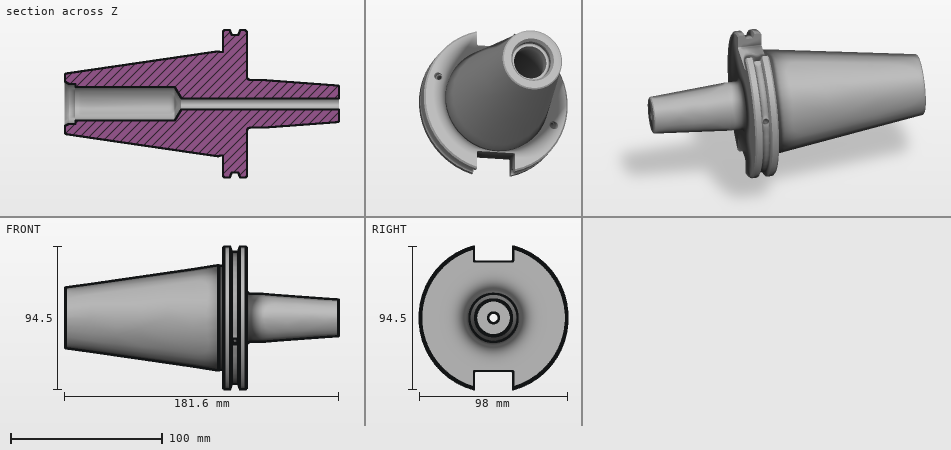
import cadquery as cq
import math

total_length = 181.6
gauge_x = 101.5
flange_start = 104.6
flange_end = 120.5
neck_cylinder_end = 130.8

gauge_diameter = 70.0
taper_ratio = 7 / 24
collar_diameter = 69.2
collar_chamfer_length = 0.9
small_end_diameter = gauge_diameter - taper_ratio * gauge_x
small_end_chamfer = 0.7

flange_diameter = 98.0
flange_chamfer = 1.0
groove_floor_diameter = 91.5
groove_center_x = (flange_start + flange_end) / 2
groove_top_width = 6.7
groove_floor_width = 4.2

slot_width = 25.8
upper_slot_floor = 37.5
lower_slot_floor = 35.2
slot_corner_radius = 0.7
dimple_diameter = 9.5
dimple_depth = 2.7

neck_diameter = 32.0
nose_diameter = 24.5
neck_fillet = 2.2
nose_chamfer = 0.7

mouth_diameter = 29.0
mouth_cone_depth = 2.7
counterbore_diameter = 26.2
counterbore_depth = 6.9
bore_diameter = 22.0
bore_depth = 72.6
drill_point_angle = 118.0
coolant_diameter = 6.9

port_angle = 20.0
port_circle_radius = 41.8
port_tilt = 32.0
port_diameter = 5.0
port_depth = 1.8
port_drill_diameter = 3.3
port_drill_depth = 9.0
screw_hole_diameter = 4.2
screw_hole_depth = 2.7


def make_body():
    small_radius = small_end_diameter / 2
    chamfer_radius = small_radius + small_end_chamfer * taper_ratio / 2
    gauge_radius = gauge_diameter / 2
    collar_radius = collar_diameter / 2
    flange_radius = flange_diameter / 2
    floor_radius = groove_floor_diameter / 2
    neck_radius = neck_diameter / 2
    nose_radius = nose_diameter / 2
    fillet_middle = neck_fillet * (1 - math.sqrt(0.5))
    return (
        cq.Workplane("XY")
        .moveTo(0, 0)
        .lineTo(0, small_radius - small_end_chamfer)
        .lineTo(small_end_chamfer, chamfer_radius)
        .lineTo(gauge_x, gauge_radius)
        .lineTo(gauge_x + collar_chamfer_length, collar_radius)
        .lineTo(flange_start, collar_radius)
        .lineTo(flange_start, flange_radius - flange_chamfer)
        .lineTo(flange_start + flange_chamfer, flange_radius)
        .lineTo(groove_center_x - groove_top_width / 2, flange_radius)
        .lineTo(groove_center_x - groove_floor_width / 2, floor_radius)
        .lineTo(groove_center_x + groove_floor_width / 2, floor_radius)
        .lineTo(groove_center_x + groove_top_width / 2, flange_radius)
        .lineTo(flange_end - flange_chamfer, flange_radius)
        .lineTo(flange_end, flange_radius - flange_chamfer)
        .lineTo(flange_end, neck_radius + neck_fillet)
        .threePointArc(
            (flange_end + fillet_middle, neck_radius + fillet_middle),
            (flange_end + neck_fillet, neck_radius),
        )
        .lineTo(neck_cylinder_end, neck_radius)
        .lineTo(total_length - nose_chamfer, nose_radius)
        .lineTo(total_length, nose_radius - nose_chamfer)
        .lineTo(total_length, 0)
        .close()
        .revolve(360, (0, 0, 0), (1, 0, 0))
    )


def make_bore():
    coolant_radius = coolant_diameter / 2
    bore_radius = bore_diameter / 2
    point_length = (bore_radius - coolant_radius) / math.tan(math.radians(drill_point_angle / 2))
    return (
        cq.Workplane("XY")
        .moveTo(0, 0)
        .lineTo(0, mouth_diameter / 2)
        .lineTo(mouth_cone_depth, counterbore_diameter / 2)
        .lineTo(counterbore_depth, counterbore_diameter / 2)
        .lineTo(counterbore_depth, bore_radius)
        .lineTo(bore_depth, bore_radius)
        .lineTo(bore_depth + point_length, coolant_radius)
        .lineTo(total_length, coolant_radius)
        .lineTo(total_length, 0)
        .close()
        .revolve(360, (0, 0, 0), (1, 0, 0))
    )


def make_drive_slot(floor, side):
    """Slot across the flange; side is +1 for the +Z slot and -1 for the -Z slot."""
    depth = flange_diameter / 2 - floor
    floor_edges = "|X and <Z" if side > 0 else "|X and >Z"
    return (
        cq.Workplane("XY")
        .box(flange_end - flange_start, slot_width, depth)
        .edges(floor_edges)
        .fillet(slot_corner_radius)
        .translate((groove_center_x, 0, side * (floor + depth / 2)))
    )


def make_dimple():
    """Conical-bottomed recess in the floor of the +Z slot."""
    radius = dimple_diameter / 2
    return (
        cq.Workplane("XZ")
        .moveTo(0, 0)
        .lineTo(radius, 0)
        .lineTo(0, -dimple_depth)
        .close()
        .revolve(360, (0, 0, 0), (0, 1, 0))
        .translate((groove_center_x, 0, upper_slot_floor))
    )


def make_coolant_port():
    """Stepped drilling in the flange face, leaning toward the part axis as it goes deeper."""
    tilt = math.radians(port_tilt)
    mouth = cq.Vector(flange_start, port_circle_radius, 0)
    direction = cq.Vector(math.cos(tilt), -math.sin(tilt), 0)
    start = mouth - direction * port_diameter
    port = cq.Solid.makeCylinder(port_diameter / 2, port_diameter + port_depth, start, direction)
    drill = cq.Solid.makeCylinder(port_drill_diameter / 2, port_drill_depth, mouth, direction)
    return cq.Workplane(port).union(cq.Workplane(drill))


def make_screw_hole():
    """Radial blind hole in the groove floor, with a drill-point end."""
    radius = screw_hole_diameter / 2
    bottom = groove_floor_diameter / 2 - screw_hole_depth
    point_length = radius / math.tan(math.radians(drill_point_angle / 2))
    return (
        cq.Workplane("XY")
        .moveTo(0, bottom - point_length)
        .lineTo(radius, bottom)
        .lineTo(radius, flange_diameter / 2)
        .lineTo(0, flange_diameter / 2)
        .close()
        .revolve(360, (0, 0, 0), (0, 1, 0))
        .translate((groove_center_x, 0, 0))
    )


result = make_body().cut(make_bore())
result = result.cut(make_drive_slot(upper_slot_floor, 1))
result = result.cut(make_drive_slot(lower_slot_floor, -1))
result = result.cut(make_dimple())
for angle in (port_angle, port_angle + 180):
    for tool in (make_coolant_port(), make_screw_hole()):
        result = result.cut(tool.rotate((0, 0, 0), (1, 0, 0), angle))